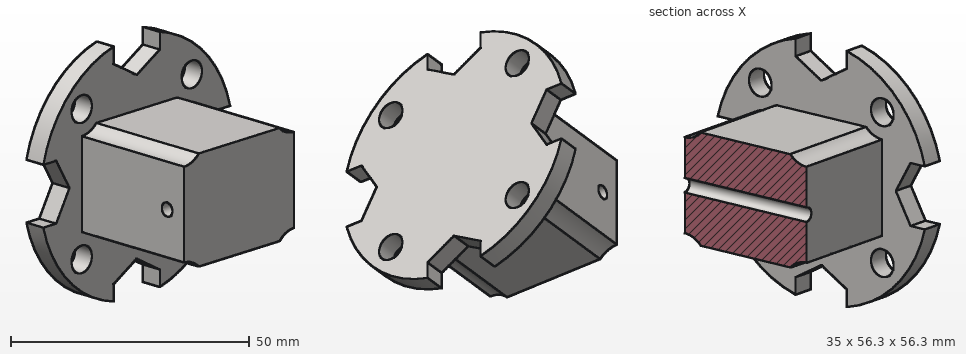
import cadquery as cq
import math

flange_radius = 29.0
flange_thickness = 5.0

notch_corner_radius = 8.0
notch_square_side = 40.0
notch_corner_count = 6
notch_count = 4
notch_center_distance = notch_square_side / math.sqrt(2)

bolt_circle_diameter = 46.9
mount_hole_diameter = 6.1
head_clearance_diameter = 12.0
mount_offset = bolt_circle_diameter / 2 / math.sqrt(2)

block_length = 30.0
block_width = 2 * mount_offset
block_height = 25.0

pin_hole_diameter = 3.1
pin_hole_end_distance = 5.0

total_length = flange_thickness + block_length


def make_flange():
    """Disc with the four hexagonal notches cut into its edge."""
    disc = cq.Workplane("YZ").circle(flange_radius).extrude(flange_thickness)
    notches = (
        cq.Workplane("YZ")
        .polarArray(notch_center_distance, 0, 360, notch_count)
        .polygon(notch_corner_count, 2 * notch_corner_radius)
        .extrude(flange_thickness)
    )
    return disc.cut(notches)


def mount_cylinders(diameter):
    """Full-length cylinders along X at the four mounting positions."""
    return (
        cq.Workplane("YZ")
        .rect(2 * mount_offset, 2 * mount_offset, forConstruction=True)
        .vertices()
        .circle(diameter / 2)
        .extrude(total_length)
    )


def make_block():
    """Block that overlaps the flange, its corners scooped out around the screw heads."""
    block = (
        cq.Workplane("YZ")
        .rect(block_width, block_height)
        .extrude(total_length)
    )
    head_clearance = mount_cylinders(head_clearance_diameter)
    return block.cut(head_clearance)


def make_pin_hole():
    """Cylinder along Y near the free end of the block."""
    return (
        cq.Workplane("XZ")
        .center(total_length - pin_hole_end_distance, 0)
        .circle(pin_hole_diameter / 2)
        .extrude(block_width / 2, both=True)
    )


result = (
    make_flange()
    .union(make_block())
    .cut(mount_cylinders(mount_hole_diameter))
    .cut(make_pin_hole())
)